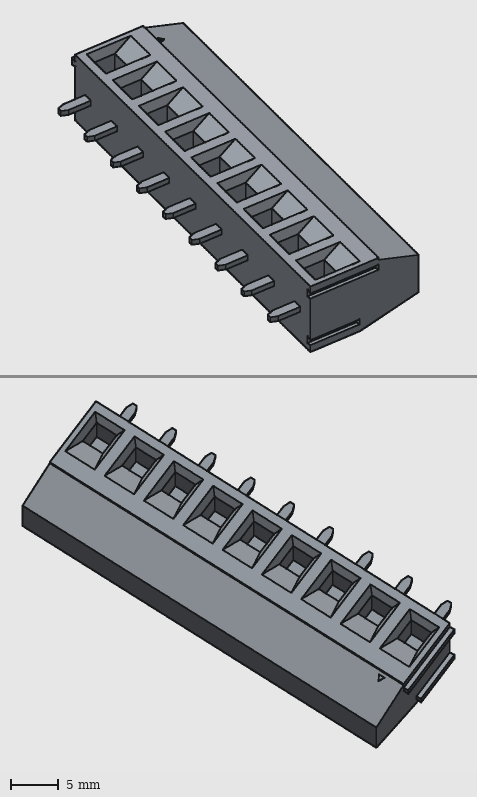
import cadquery as cq

overall_length = 45.55
overall_depth = 17.1
height = 9.0
pole_count = 9

rail_height = 0.6
pin_length = 3.55
body_length = overall_length - rail_height
body_depth = overall_depth - pin_length
pitch = body_length / pole_count

top_flat_depth = 8.5
top_step = 0.27
back_top_drop = 1.9
bottom_flat_depth = 6.2
back_bottom_rise = 1.95

rail_tip_width = 0.95
rail_root_width = 0.7
rail_edge_gap = 0.8
rail_center_inset = rail_edge_gap + rail_tip_width / 2
upper_rail_length = top_flat_depth
lower_rail_length = 6.15

funnel_width = 3.75
funnel_front = 1.05
funnel_length = 5.5
funnel_depth = 0.95
shaft_size = 2.55
shaft_front = 1.65
shaft_bottom = height / 2

marker_width = 0.7
marker_length = 0.65
marker_gap = 0.4
marker_relief = 0.1

pin_width = 1.1
pin_thickness = 0.7
pin_tip_width = 0.5
pin_taper_length = 0.77


def pole_centers():
    return [(index + 0.5) * pitch for index in range(pole_count)]


def make_housing():
    """Body with its front face on Y = 0, its base on Z = 0 and its -X end on X = 0."""
    section = [
        (0, 0),
        (bottom_flat_depth, 0),
        (body_depth, back_bottom_rise),
        (body_depth, height - back_top_drop),
        (top_flat_depth, height - top_step),
        (top_flat_depth, height),
        (0, height),
    ]
    return cq.Workplane("YZ").polyline(section).close().extrude(body_length)


def make_rail(root_x, center_z, length):
    """Dovetail bar along Y that widens from root_x towards -X."""
    tip_x = root_x - rail_height
    section = [
        (root_x, center_z - rail_root_width / 2),
        (root_x, center_z + rail_root_width / 2),
        (tip_x, center_z + rail_tip_width / 2),
        (tip_x, center_z - rail_tip_width / 2),
    ]
    return cq.Workplane("XZ").polyline(section).close().extrude(-length)


def make_rail_pair(root_x):
    upper = make_rail(root_x, height - rail_center_inset, upper_rail_length)
    lower = make_rail(root_x, rail_center_inset, lower_rail_length)
    return upper.union(lower)


def make_wire_opening(center_x):
    """Square shaft opening upwards through a funnel with a long rear slope."""
    shaft_center_y = shaft_front + shaft_size / 2
    funnel_center_y = funnel_front + funnel_length / 2
    funnel_bottom = height - funnel_depth
    funnel = (
        cq.Workplane("XY", origin=(center_x, shaft_center_y, funnel_bottom))
        .rect(shaft_size, shaft_size)
        .workplane(offset=funnel_depth)
        .center(0, funnel_center_y - shaft_center_y)
        .rect(funnel_width, funnel_length)
        .loft(ruled=True)
    )
    shaft = (
        cq.Workplane("XY", origin=(center_x, shaft_center_y, shaft_bottom))
        .rect(shaft_size, shaft_size)
        .extrude(funnel_bottom - shaft_bottom)
    )
    return funnel.union(shaft)


def make_pin(center_x):
    """Flat pin standing on the front face, narrowing to a blunt tip."""
    taper_start = pin_taper_length - pin_length
    outline = [
        (-pin_width / 2, 0),
        (-pin_width / 2, taper_start),
        (-pin_tip_width / 2, -pin_length),
        (pin_tip_width / 2, -pin_length),
        (pin_width / 2, taper_start),
        (pin_width / 2, 0),
    ]
    pin_base = (center_x, 0, (height - pin_thickness) / 2)
    return cq.Workplane("XY", origin=pin_base).polyline(outline).close().extrude(pin_thickness)


def make_pole_marker(center_x):
    """Thin triangle lying on the rear slope, pointing away from the step."""
    slope_run = body_depth - top_flat_depth
    slope_drop = back_top_drop - top_step
    slope_plane = cq.Plane(
        origin=(center_x, top_flat_depth, height - top_step),
        xDir=(1, 0, 0),
        normal=(0, slope_drop, slope_run),
    )
    outline = [
        (-marker_width / 2, marker_gap),
        (marker_width / 2, marker_gap),
        (0, marker_gap + marker_length),
    ]
    return cq.Workplane(slope_plane).polyline(outline).close().extrude(marker_relief)


result = make_housing().union(make_rail_pair(0)).cut(make_rail_pair(body_length))
result = result.union(make_pole_marker(pole_centers()[0]))

for pole_x in pole_centers():
    result = result.cut(make_wire_opening(pole_x)).union(make_pin(pole_x))